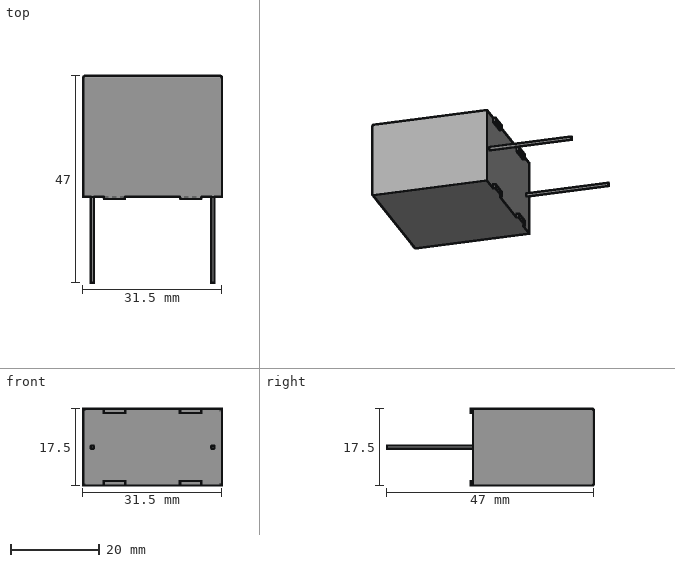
import cadquery as cq

TOTAL_LENGTH = 47.0
BODY_WIDTH = 31.5
BODY_HEIGHT = 17.5
LEAD_LENGTH = 19.5
LEAD_DIAMETER = 0.8
LEAD_PITCH = 27.35
REAR_FILLET = 0.6
FOOT_WIDTH = 5.0
FOOT_TIP_WIDTH = 4.7
FOOT_HEIGHT = 1.05
FOOT_DEPTH = 0.5
FOOT_PITCH = 17.3

BODY_DEPTH = TOTAL_LENGTH - LEAD_LENGTH


def make_foot(center_x, side):
    """Tapered standoff foot, flush with the top (side = 1) or bottom (side = -1) face."""
    profile = [
        (center_x - FOOT_WIDTH / 2, 0),
        (center_x + FOOT_WIDTH / 2, 0),
        (center_x + FOOT_TIP_WIDTH / 2, -FOOT_DEPTH),
        (center_x - FOOT_TIP_WIDTH / 2, -FOOT_DEPTH),
    ]
    foot_center_z = side * (BODY_HEIGHT - FOOT_HEIGHT) / 2
    return (
        cq.Workplane("XY", origin=(0, 0, foot_center_z - FOOT_HEIGHT / 2))
        .polyline(profile)
        .close()
        .extrude(FOOT_HEIGHT)
    )


def make_housing():
    """Rectangular case with a rounded rear rim and four standoff feet."""
    housing = (
        cq.Workplane("XY")
        .box(BODY_WIDTH, BODY_DEPTH, BODY_HEIGHT, centered=(True, False, True))
        .faces(">Y")
        .edges()
        .fillet(REAR_FILLET)
    )
    for center_x in (-FOOT_PITCH / 2, FOOT_PITCH / 2):
        for side in (-1, 1):
            housing = housing.union(make_foot(center_x, side))
    return housing


def make_lead(center_x):
    """Straight round wire lead that butts against the front face."""
    return (
        cq.Workplane("XZ", origin=(center_x, 0, 0))
        .circle(LEAD_DIAMETER / 2)
        .extrude(LEAD_LENGTH)
    )


housing = make_housing()
leads = [make_lead(center_x) for center_x in (-LEAD_PITCH / 2, LEAD_PITCH / 2)]

result = cq.Compound.makeCompound([housing.val(), *[lead.val() for lead in leads]])